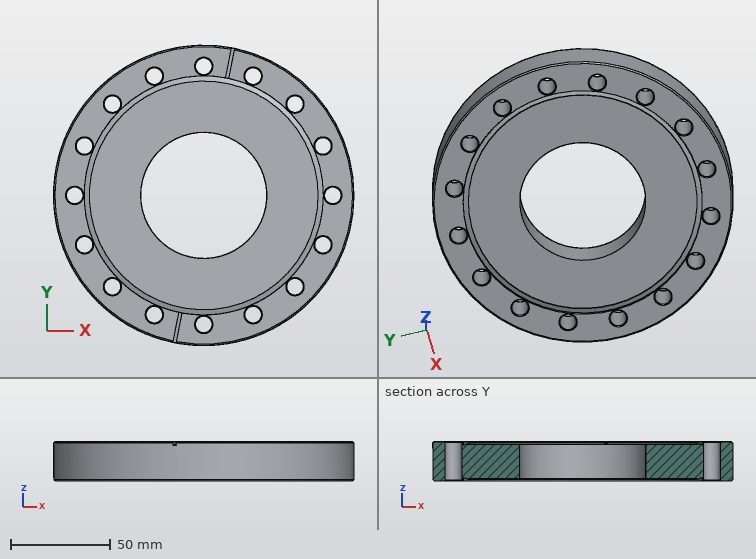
import cadquery as cq
import math

outer_diameter = 151.6
thickness = 19.9
bore_diameter = 63.5
rim_chamfer = 0.8

bolt_count = 16
bolt_circle_diameter = 130.3
bolt_hole_diameter = 8.3
bolt_hole_chamfer = 0.5

recess_diameter = 120.7
knife_diameter = 115.4
knife_tip_depth = 0.68
knife_slope_angle = 20.0
inner_floor_depth = 1.29

groove_count = 2
groove_width = 1.7
groove_inner_depth = 0.9
groove_outer_depth = 1.8

outer_radius = outer_diameter / 2
recess_radius = recess_diameter / 2
knife_radius = knife_diameter / 2
knife_drop = (recess_radius - knife_radius) * math.tan(math.radians(knife_slope_angle))
recess_depth = knife_tip_depth + knife_drop
half_bolt_pitch = 180 / bolt_count


def spin(profile):
    """Revolve a closed profile, drawn in the XZ plane, once around its Z axis."""
    return profile.revolve(360, (0, 0, 0), (0, 1, 0))


def make_body():
    """Disc with both rims chamfered and a central bore."""
    disc = cq.Workplane("XY").circle(outer_radius).extrude(thickness)
    disc = disc.edges().chamfer(rim_chamfer)
    return disc.faces(">Z").workplane().hole(bore_diameter)


def make_top_recess():
    """Cutter for the top recess; its floor rises inwards to the knife edge, then drops."""
    floor_height = thickness - inner_floor_depth
    profile = (
        cq.Workplane("XZ")
        .moveTo(0, thickness)
        .lineTo(recess_radius, thickness)
        .lineTo(recess_radius, thickness - recess_depth)
        .lineTo(knife_radius, thickness - knife_tip_depth)
        .lineTo(knife_radius, floor_height)
        .lineTo(0, floor_height)
        .close()
    )
    return spin(profile)


def make_bolt_holes():
    """Cutters for the ring of through holes, chamfered at both faces."""
    hole_radius = bolt_hole_diameter / 2
    mouth_radius = hole_radius + bolt_hole_chamfer
    profile = (
        cq.Workplane("XZ")
        .lineTo(mouth_radius, 0)
        .lineTo(hole_radius, bolt_hole_chamfer)
        .lineTo(hole_radius, thickness - bolt_hole_chamfer)
        .lineTo(mouth_radius, thickness)
        .lineTo(0, thickness)
        .close()
    )
    hole = spin(profile).val()
    centers = cq.Workplane("XY").polarArray(bolt_circle_diameter / 2, 0, 360, bolt_count)
    return centers.eachpoint(lambda center: hole.moved(center))


def make_groove(angle):
    """Cutter for a groove from recess to rim, deepening outwards, turned by angle from +Y."""
    return (
        cq.Workplane("YZ")
        .moveTo(recess_radius, thickness)
        .lineTo(recess_radius, thickness - groove_inner_depth)
        .lineTo(outer_radius, thickness - groove_outer_depth)
        .lineTo(outer_radius, thickness)
        .close()
        .extrude(groove_width / 2, both=True)
        .rotate((0, 0, 0), (0, 0, 1), angle)
    )


top_recess = make_top_recess()
bottom_recess = top_recess.mirror("XY", (0, 0, thickness / 2))

result = make_body().cut(top_recess).cut(bottom_recess).cut(make_bolt_holes())

for index in range(groove_count):
    groove_angle = index * 360 / groove_count - half_bolt_pitch
    result = result.cut(make_groove(groove_angle))